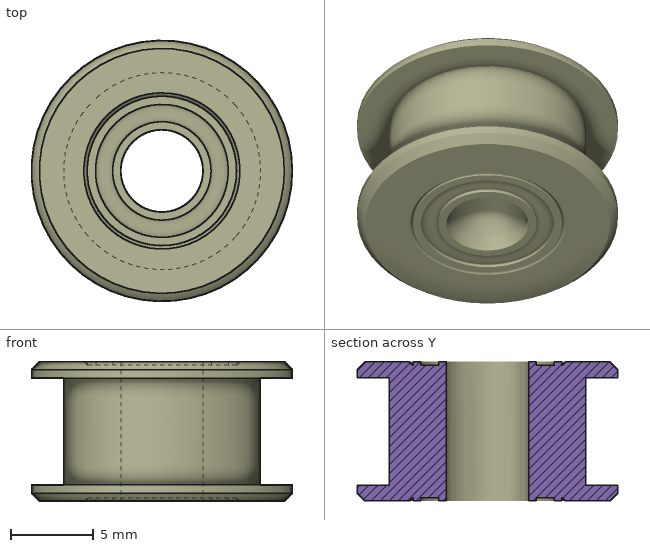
import cadquery as cq

flange_diameter = 15.9
height = 8.5
drum_diameter = 12.0
flange_thickness = 1.0
rim_chamfer = 0.5

bore_diameter = 5.0
inner_race_diameter = 6.0
outer_race_inner_diameter = 8.1
outer_race_diameter = 9.1
shield_depth = 0.2
seat_chamfer = 0.2


def disc(diameter, thickness, base_z):
    return cq.Workplane("XY").workplane(offset=base_z).circle(diameter / 2).extrude(thickness)


def pulley_body():
    """Spool with two flanges, each bevelled on its outer end."""
    bottom_flange = disc(flange_diameter, flange_thickness, 0).faces("<Z").chamfer(rim_chamfer)
    top_z = height - flange_thickness
    top_flange = disc(flange_diameter, flange_thickness, top_z).faces(">Z").chamfer(rim_chamfer)
    return disc(drum_diameter, height, 0).union(bottom_flange).union(top_flange)


def top_face_recesses():
    """Shield recess and V-shaped seat groove cut into the top face."""
    shield_recess = (
        cq.Workplane("XY").workplane(offset=height - shield_depth)
        .circle(outer_race_inner_diameter / 2)
        .circle(inner_race_diameter / 2)
        .extrude(shield_depth)
    )
    race_radius = outer_race_diameter / 2
    seat_groove = (
        cq.Workplane("XZ")
        .moveTo(race_radius, height - seat_chamfer)
        .lineTo(race_radius + seat_chamfer, height)
        .lineTo(race_radius, height)
        .close()
        .revolve(360, (0, 0, 0), (0, 1, 0))
    )
    return shield_recess.union(seat_groove)


top_recesses = top_face_recesses()
bottom_recesses = top_recesses.mirror("XY", (0, 0, height / 2))

result = (
    pulley_body()
    .cut(disc(bore_diameter, height, 0))
    .cut(top_recesses)
    .cut(bottom_recesses)
)